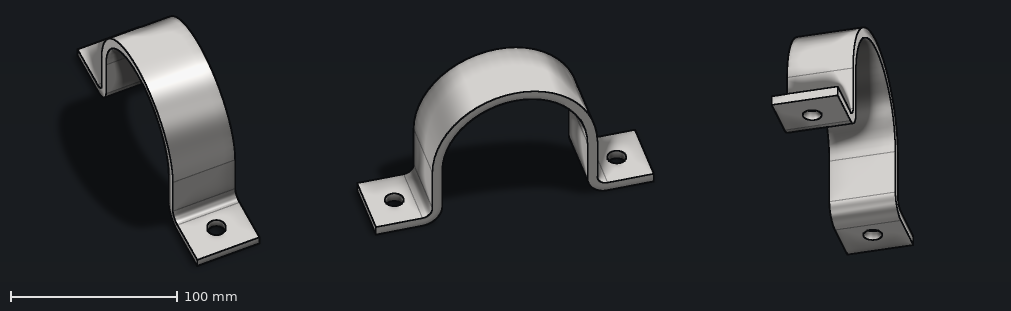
import cadquery as cq

length = 173.8
width = 41.2
height = 93.0
thickness = 6.3
outer_radius = 51.6
inner_bend_radius = 6.3
hole_diameter = 11.3
hole_spacing = 139.0

inner_radius = outer_radius - thickness
outer_bend_radius = inner_bend_radius + thickness
arch_center_z = height - outer_radius
half_length = length / 2


def strap_profile():
    """Closed outline of the bent strip in the XZ plane, resting on Z = 0."""
    bend_x = inner_radius + outer_bend_radius
    bend_z = outer_bend_radius
    return (
        cq.Workplane("XZ")
        .moveTo(-half_length, 0)
        .lineTo(-bend_x, 0)
        .radiusArc((-inner_radius, bend_z), -outer_bend_radius)
        .lineTo(-inner_radius, arch_center_z)
        .threePointArc((0, arch_center_z + inner_radius), (inner_radius, arch_center_z))
        .lineTo(inner_radius, bend_z)
        .radiusArc((bend_x, 0), -outer_bend_radius)
        .lineTo(half_length, 0)
        .lineTo(half_length, thickness)
        .lineTo(bend_x, thickness)
        .radiusArc((outer_radius, bend_z), inner_bend_radius)
        .lineTo(outer_radius, arch_center_z)
        .threePointArc((0, height), (-outer_radius, arch_center_z))
        .lineTo(-outer_radius, bend_z)
        .radiusArc((-bend_x, thickness), inner_bend_radius)
        .lineTo(-half_length, thickness)
        .close()
    )


def foot_holes():
    """Cylinders through both feet, one on each side of the arch."""
    return (
        cq.Workplane("XY")
        .pushPoints([(-hole_spacing / 2, 0), (hole_spacing / 2, 0)])
        .circle(hole_diameter / 2)
        .extrude(thickness)
    )


strap = strap_profile().extrude(width / 2, both=True)
result = strap.cut(foot_holes())